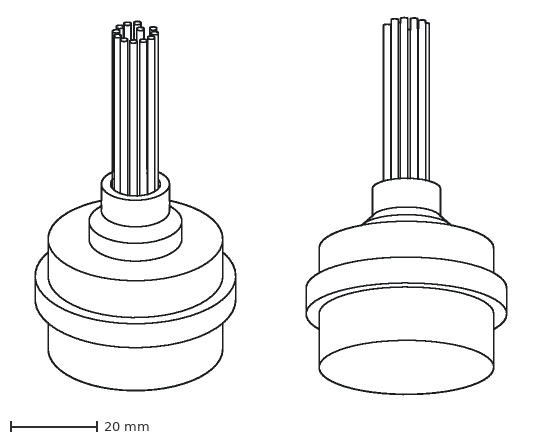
import cadquery as cq
import math

body_diameter = 40.5
flange_diameter = 46.5
shoulder_diameter = 21.5
neck_diameter = 15.8

flange_bottom = 13.0
flange_top = 19.3
body_top = 29.0
shoulder_top = 33.7
neck_bottom = 36.5
neck_top = 43.5

recess_diameter = 11.5
recess_depth = 7.0
recess_floor = neck_top - recess_depth

wire_diameter = 1.7
wire_protrusion = 40.0
wire_position_count = 12
wire_circle_radius = 4.5
inner_wire_radius = 2.0
inner_wire_index = 3
wire_embedment = 1.0


def make_body():
    """Stepped round body, revolved about the Z axis."""
    body_radius = body_diameter / 2
    flange_radius = flange_diameter / 2
    shoulder_radius = shoulder_diameter / 2
    neck_radius = neck_diameter / 2
    recess_radius = recess_diameter / 2
    half_profile = [
        (0, 0),
        (body_radius, 0),
        (body_radius, flange_bottom),
        (flange_radius, flange_bottom),
        (flange_radius, flange_top),
        (body_radius, flange_top),
        (body_radius, body_top),
        (shoulder_radius, body_top),
        (shoulder_radius, shoulder_top),
        (neck_radius, neck_bottom),
        (neck_radius, neck_top),
        (recess_radius, neck_top),
        (recess_radius, recess_floor),
        (0, recess_floor),
    ]
    return cq.Workplane("XZ").polyline(half_profile).close().revolve(360, (0, 0), (0, 1))


def wire_centers():
    """Centers of the wires: a ring of equal steps with one wire set inward."""
    centers = []
    for index in range(wire_position_count):
        angle = 2 * math.pi * index / wire_position_count
        radius = inner_wire_radius if index == inner_wire_index else wire_circle_radius
        centers.append((radius * math.cos(angle), radius * math.sin(angle)))
    return centers


def make_wires():
    """Straight round wires rising from the recess floor past the neck."""
    wire_bottom = recess_floor - wire_embedment
    wire_top = neck_top + wire_protrusion
    return (
        cq.Workplane("XY", origin=(0, 0, wire_bottom))
        .pushPoints(wire_centers())
        .circle(wire_diameter / 2)
        .extrude(wire_top - wire_bottom)
    )


result = make_body().union(make_wires())